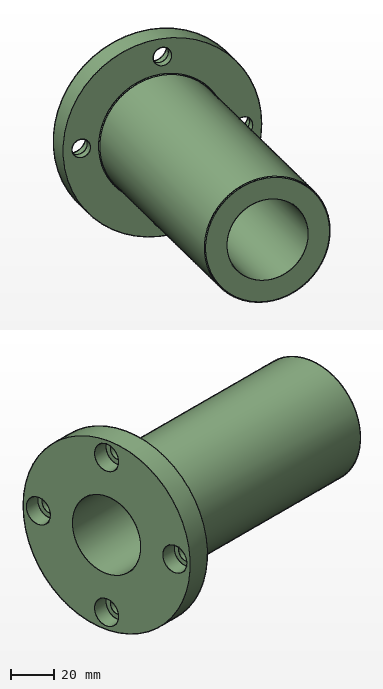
import cadquery as cq

total_length = 151
bore_diameter = 40.0

flange_diameter = 98.0
flange_thickness = 13.0

sleeve_diameter = 62.0
end_chamfer = 0.5

collar_size = 0.5

hole_count = 4
bolt_circle_diameter = 80.0
hole_diameter = 9.0
counterbore_diameter = 14.0
counterbore_depth = 8.6


def cylinder(diameter, start, end):
    """Solid cylinder on the X axis between two X positions."""
    return cq.Workplane("YZ", origin=(start, 0, 0)).circle(diameter / 2).extrude(end - start)


def mounting_holes(diameter, depth):
    """Cutters on the bolt circle, going into the flange face."""
    return (
        cq.Workplane("YZ")
        .polarArray(bolt_circle_diameter / 2, 0, 360, hole_count)
        .circle(diameter / 2)
        .extrude(depth)
    )


flange = cylinder(flange_diameter, 0, flange_thickness)

sleeve = cylinder(sleeve_diameter, 0, total_length).faces(">X").edges().chamfer(end_chamfer)

collar = (
    cylinder(sleeve_diameter + 2 * collar_size, 0, flange_thickness + collar_size)
    .faces(">X")
    .edges()
    .chamfer(collar_size)
)

body = flange.union(collar).union(sleeve)
bore = cylinder(bore_diameter, 0, total_length)

result = (
    body.cut(bore)
    .cut(mounting_holes(hole_diameter, flange_thickness))
    .cut(mounting_holes(counterbore_diameter, counterbore_depth))
)